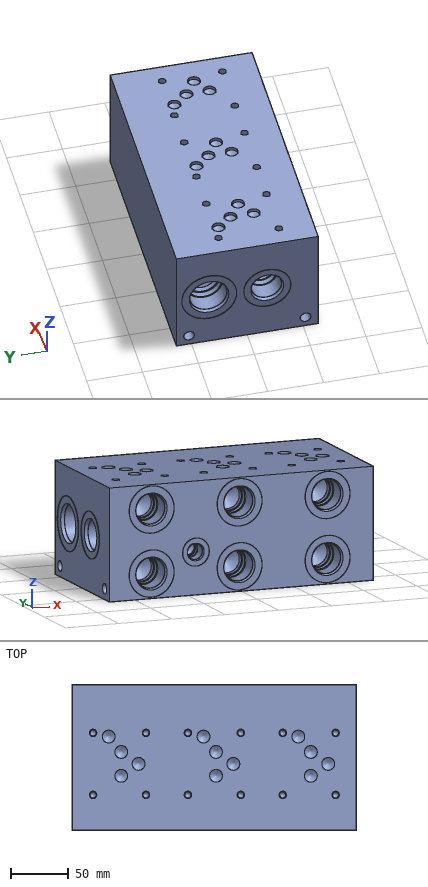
import cadquery as cq
import math

LENGTH = 247.6
WIDTH = 127.0
HEIGHT = 101.5

STATION_COUNT = 3
STATION_PITCH = LENGTH / STATION_COUNT

DRILL_POINT_ANGLE = 118.0
SPOTFACE_DEPTH = 0.5

WORK_PORT = {
    "spotface": 42.0, "mouth": 29.2, "seat": 27.5, "thread": 27.0, "tap_drill": 25.0, "passage": 23.0,
    "seat_depth": 3.7, "thread_depth": 19.3, "tap_drill_depth": 24.8, "passage_depth": 29.7,
}
TANK_PORT = {
    "spotface": 49.0, "mouth": 35.2, "seat": 33.7, "thread": 33.2, "tap_drill": 31.2, "passage": 28.5,
    "seat_depth": 3.7, "thread_depth": 19.3, "tap_drill_depth": 24.8, "passage_depth": 29.7,
}
GAUGE_PORT = {
    "spotface": 25.0, "mouth": 15.5, "seat": 14.5, "thread": 14.0, "tap_drill": 13.0, "passage": 12.1,
    "seat_depth": 3.0, "thread_depth": 13.5, "tap_drill_depth": 17.3, "passage_depth": 19.8,
}

WORK_PORT_X = 39.6
WORK_PORT_EDGE = 22.3
GAUGE_X = 81.2
GAUGE_Z = 38.1
TANK_Y = WIDTH - 29.5
PRESSURE_Y = WIDTH - 81.5
END_PORT_Z = HEIGHT / 2

END_TAP_MAJOR = 9.5
END_TAP_DRILL = 8.0
END_TAP_THREAD_DEPTH = 17.3
END_TAP_DRILL_DEPTH = 22.3
END_TAP_EDGE = 11.5
END_TAP_Z = 9.7

SCREW_X = 18.3
SCREW_Y = 85.0
SCREW_SPACING_X = 46.0
SCREW_SPACING_Y = 54.0
SCREW_MAJOR = 6.5
SCREW_DRILL = 5.2
SCREW_THREAD_DEPTH = 12.5
SCREW_DRILL_DEPTH = 16.0
PASSAGE_DIAMETER = 11.1
PASSAGE_DEPTH = 3.0
PASSAGE_OFFSETS = [(13.5, 3.2), (24.5, 16.5), (39.6, 27.0), (24.5, 37.5)]

FRONT = cq.Vector(0, 1, 0)
LEFT = cq.Vector(1, 0, 0)
TOP = cq.Vector(0, 0, -1)


def turned_cutter(profile, position, direction):
    """Revolve (radius, depth) points about an axis that runs from position into the block."""
    plane = cq.Plane(origin=(0, 0, 0), xDir=(1, 0, 0), normal=(0, -1, 0))
    outline = cq.Workplane(plane).polyline(profile).close()
    cutter = outline.revolve(360, (0, 0, 0), (0, 1, 0)).val()
    located = cq.Plane(origin=position, normal=direction)
    return cutter.moved(cq.Location(located))


def drill_tip(diameter, depth):
    """Depth of the point of a drill whose shoulder is at the given depth."""
    return depth + diameter / 2 / math.tan(math.radians(DRILL_POINT_ANGLE / 2))


def plain_hole(diameter, depth, position, direction):
    radius = diameter / 2
    profile = [(0, 0), (radius, 0), (radius, depth), (0, drill_tip(diameter, depth))]
    return turned_cutter(profile, position, direction)


def tapped_hole(major, drill, thread_depth, drill_depth, position, direction):
    profile = [
        (0, 0),
        (major / 2, 0),
        (major / 2, thread_depth),
        (drill / 2, thread_depth),
        (drill / 2, drill_depth),
        (0, drill_tip(drill, drill_depth)),
    ]
    return turned_cutter(profile, position, direction)


def threaded_port(port, position, direction):
    profile = [
        (0, 0),
        (port["spotface"] / 2, 0),
        (port["spotface"] / 2, SPOTFACE_DEPTH),
        (port["mouth"] / 2, SPOTFACE_DEPTH),
        (port["seat"] / 2, port["seat_depth"]),
        (port["thread"] / 2, port["seat_depth"]),
        (port["thread"] / 2, port["thread_depth"]),
        (port["tap_drill"] / 2, port["thread_depth"]),
        (port["tap_drill"] / 2, port["tap_drill_depth"]),
        (port["passage"] / 2, port["tap_drill_depth"]),
        (port["passage"] / 2, port["passage_depth"]),
        (0, drill_tip(port["passage"], port["passage_depth"])),
    ]
    return turned_cutter(profile, position, direction)


def station_cutters(shift):
    """Work ports and valve mounting pattern of the station moved along X by shift."""
    cutters = []
    for z in (WORK_PORT_EDGE, HEIGHT - WORK_PORT_EDGE):
        cutters.append(threaded_port(WORK_PORT, (WORK_PORT_X + shift, 0, z), FRONT))

    left = SCREW_X + shift
    for x in (left, left + SCREW_SPACING_X):
        for y in (SCREW_Y, SCREW_Y - SCREW_SPACING_Y):
            cutters.append(
                tapped_hole(
                    SCREW_MAJOR, SCREW_DRILL, SCREW_THREAD_DEPTH, SCREW_DRILL_DEPTH,
                    (x, y, HEIGHT), TOP,
                )
            )

    for right, forward in PASSAGE_OFFSETS:
        position = (left + right, SCREW_Y - forward, HEIGHT)
        cutters.append(plain_hole(PASSAGE_DIAMETER, PASSAGE_DEPTH, position, TOP))
    return cutters


def left_end_cutters():
    """Tank and pressure ports and the two tapped mounting holes."""
    cutters = [
        threaded_port(TANK_PORT, (0, TANK_Y, END_PORT_Z), LEFT),
        threaded_port(WORK_PORT, (0, PRESSURE_Y, END_PORT_Z), LEFT),
    ]
    for y in (END_TAP_EDGE, WIDTH - END_TAP_EDGE):
        cutters.append(
            tapped_hole(
                END_TAP_MAJOR, END_TAP_DRILL, END_TAP_THREAD_DEPTH, END_TAP_DRILL_DEPTH,
                (0, y, END_TAP_Z), LEFT,
            )
        )
    return cutters


block = cq.Workplane("XY").box(LENGTH, WIDTH, HEIGHT, centered=False).val()

all_cutters = left_end_cutters()
all_cutters.append(threaded_port(GAUGE_PORT, (GAUGE_X, 0, GAUGE_Z), FRONT))
for station in range(STATION_COUNT):
    all_cutters += station_cutters(station * STATION_PITCH)

result = cq.Workplane(block.cut(*all_cutters))